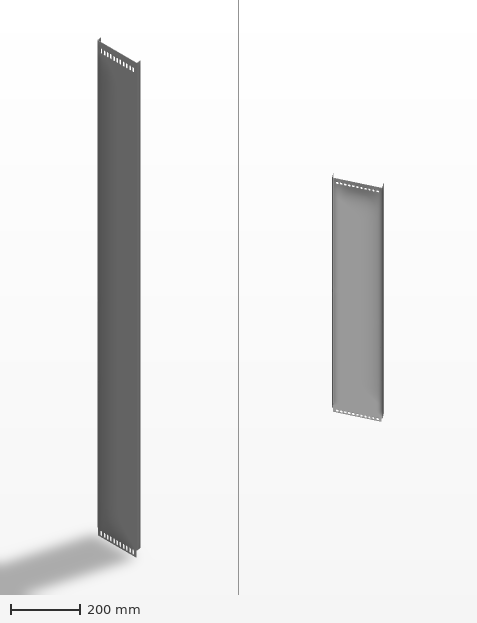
import cadquery as cq

WIDTH = 150.0
DEPTH = 15.0
LENGTH = 2000.0

SHEET = 1.5
BEND_RADIUS = 3.0

TONGUE_LENGTH = 30.0
TONGUE_WIDTH = WIDTH - 2 * BEND_RADIUS

SLOT_WIDTH = 7.0
SLOT_HEIGHT = 20.0
SLOT_PITCH = 12.0
SLOT_COUNT = 11
UPRIGHT = 90.0

FRONT_Y = -DEPTH / 2
BOTTOM_Z = -LENGTH / 2
TOP_Z = LENGTH / 2
FLANGE_BOTTOM_Z = BOTTOM_Z + TONGUE_LENGTH

BOTTOM_ROW_Z = BOTTOM_Z + TONGUE_LENGTH / 2
TOP_ROW_FROM_END = 35.0
TOP_ROW_Z = TOP_Z - TOP_ROW_FROM_END


def block(width, depth, z_low, z_high):
    """Box centred on X with its front face on the front of the panel."""
    base = cq.Workplane("XY").box(width, depth, z_high - z_low, centered=(True, False, False))
    return base.translate((0, FRONT_Y, z_low))


def rounded_block(width, radius):
    """Flange-length block with its two upright front edges rounded."""
    return block(width, DEPTH, FLANGE_BOTTOM_Z, TOP_Z).edges("|Z and <Y").fillet(radius)


def channel():
    """Web with two side flanges folded back along +Y."""
    outside = rounded_block(WIDTH, BEND_RADIUS)
    inside = rounded_block(WIDTH - 2 * SHEET, BEND_RADIUS - SHEET)
    return outside.cut(inside.translate((0, SHEET, 0)))


def tongue():
    """Flat continuation of the web below the flanges."""
    return block(TONGUE_WIDTH, SHEET, BOTTOM_Z, FLANGE_BOTTOM_Z)


def slot_row(row_z):
    """Cutters for one row of upright slots through the web."""
    return (
        cq.Workplane("XZ", origin=(0, FRONT_Y + SHEET, row_z))
        .rarray(SLOT_PITCH, SLOT_HEIGHT, SLOT_COUNT, 1)
        .slot2D(SLOT_HEIGHT, SLOT_WIDTH, UPRIGHT)
        .extrude(SHEET)
    )


result = channel().union(tongue())
for slot_row_z in (TOP_ROW_Z, BOTTOM_ROW_Z):
    result = result.cut(slot_row(slot_row_z))